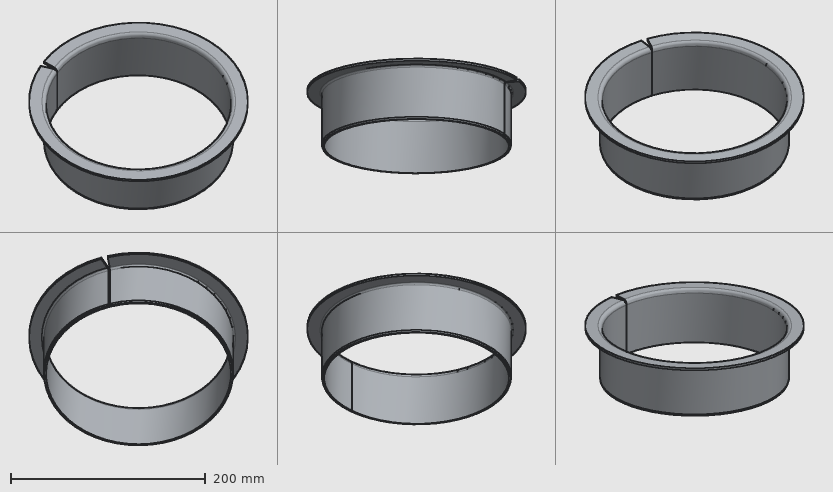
import cadquery as cq
import math

flange_radius = 112.5
height = 60.0
thickness = 2.5
bore_radius = 95.0
inner_bend_radius = 2.0
chamfer_depth = 0.7
chamfer_height = 2.0
split_half_angle = 10.0
split_tip_radius = 93.0

wall_radius = bore_radius + thickness
outer_bend_radius = inner_bend_radius + thickness
bend_center_radius = bore_radius + outer_bend_radius
bend_bottom = height - outer_bend_radius
diagonal = math.sqrt(0.5)


def bend_midpoint(radius):
    """Middle of a quarter-circle bend in the radial section."""
    return (bend_center_radius - radius * diagonal, bend_bottom + radius * diagonal)


def flanged_sleeve():
    """Sleeve with a rolled-out top flange and a chamfered bottom edge."""
    return (
        cq.Workplane("XZ")
        .moveTo(bore_radius, 0)
        .lineTo(wall_radius - chamfer_depth, 0)
        .lineTo(wall_radius, chamfer_height)
        .lineTo(wall_radius, bend_bottom)
        .threePointArc(bend_midpoint(inner_bend_radius), (bend_center_radius, height - thickness))
        .lineTo(flange_radius, height - thickness)
        .lineTo(flange_radius, height)
        .lineTo(bend_center_radius, height)
        .threePointArc(bend_midpoint(outer_bend_radius), (bore_radius, bend_bottom))
        .close()
        .revolve(360, (0, 0, 0), (0, 1, 0))
        .rotate((0, 0, 0), (0, 0, 1), 180)
    )


def split_wedge():
    """Full-height wedge on the -X side, widening from inside the bore to the flange rim."""
    length = flange_radius - split_tip_radius
    half_width = length * math.tan(math.radians(split_half_angle))
    return (
        cq.Workplane("XY")
        .moveTo(-split_tip_radius, 0)
        .lineTo(-flange_radius, half_width)
        .lineTo(-flange_radius, -half_width)
        .close()
        .extrude(height)
    )


result = flanged_sleeve().cut(split_wedge())